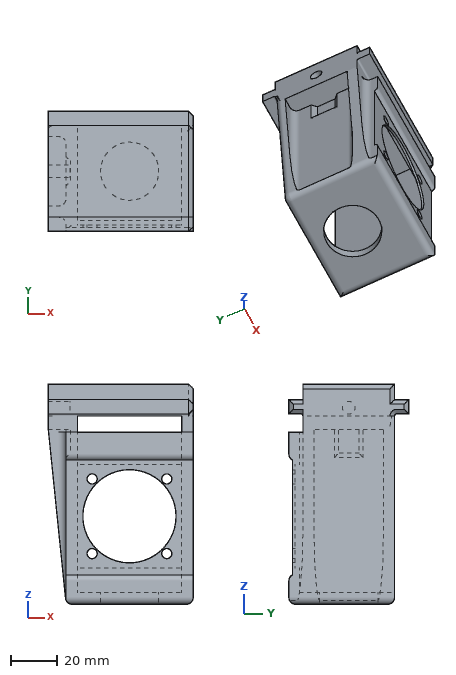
import cadquery as cq
import math

length = 62.5
width = 51.7
height = 94.8

block_width = 39.5
flange_top = 88.2
flange_bottom = 82.0
cove_radius = 0.95
end_chamfer = 2.0
block_bottom = flange_bottom - cove_radius
flange_overlap = 2.8
screw_diameter = 5.5
screw_z = 84.7
screw_depth = 9.5

slope_start_z = 75.2
recess_floor_x = 7.7
slope = recess_floor_x / slope_start_z
edge_radius = 3.0
plate_top = 74.1
cove_column_radius = 3.1
center_recess_width = 29.9

socket_width = 12.4
socket_bottom = 63.2
socket_depth = 2.0
socket_inset = 1.9

seat_depth = 1.6
seat_bottom_land = 10.1
seat_top_land = 9.5
seat_lip_radius = 2.75
bore_diameter = 40.0
bore_x = 35.0
bore_z = 37.9
screw_hole_diameter = 4.3
screw_hole_spacing = 32.1
seat_wall = 1.0

wall = 5.0
plate_thickness = 4.55
drain_diameter = 25.0

margin = 0.5

block_side = block_width / 2
plate_face = -width / 2
seat_face = plate_face + seat_depth
cavity_x0 = recess_floor_x + wall
cavity_x1 = length - wall
center_x = (recess_floor_x + length) / 2


def box(x0, x1, y0, y1, z0, z1):
    """Box between two opposite corners."""
    return cq.Workplane("XY").box(x1 - x0, y1 - y0, z1 - z0, centered=False).translate((x0, y0, z0))


def flange(side):
    """Flange on the +Y (side=1) or -Y (side=-1) side, coved below and chamfered at its +X end."""
    tip = width / 2
    inner = block_side - flange_overlap
    cove_mid = cove_radius * (1 - math.sqrt(0.5))
    bar = (
        cq.Workplane("YZ")
        .moveTo(inner, flange_top)
        .lineTo(tip, flange_top)
        .lineTo(tip, flange_bottom)
        .lineTo(block_side + cove_radius, flange_bottom)
        .threePointArc(
            (block_side + cove_mid, flange_bottom - cove_mid),
            (block_side, block_bottom),
        )
        .lineTo(inner, block_bottom)
        .close()
        .extrude(length)
    )
    free_end_edges = bar.faces(">X").edges(cq.selectors.BoxSelector(
        (length - margin, block_side - flange_overlap / 2 + margin, 0),
        (length + margin, tip + margin, height),
    ))
    bar = free_end_edges.chamfer(end_chamfer)
    return bar if side > 0 else bar.mirror("XZ")


def make_tray():
    """Block with both flanges and a blind screw hole in its -X end."""
    block = box(0, length, -block_side, block_side, block_bottom, height)
    block = block.faces(">X").edges(">Z or >Y").chamfer(end_chamfer)
    screw_hole = (
        cq.Workplane("YZ").center(0, screw_z).circle(screw_diameter / 2).extrude(screw_depth)
    )
    return block.union(flange(1)).union(flange(-1)).cut(screw_hole)


def make_trunk():
    """Solid leg with a sloping -X side, trimmed flush with the tray and stepped above the plate."""
    slope_top_x = (slope_start_z - block_bottom) * slope
    trunk = (
        cq.Workplane("XZ", origin=(0, block_side, 0))
        .polyline([
            (recess_floor_x, 0),
            (length, 0),
            (length, block_bottom),
            (slope_top_x, block_bottom),
        ])
        .close()
        .extrude(block_side - plate_face)
    )
    sloping_edge = cq.selectors.BoxSelector(
        (slope_top_x - margin, block_side - margin, margin),
        (recess_floor_x + margin, block_side + margin, block_bottom - margin),
    )
    trunk = trunk.edges(sloping_edge).fillet(edge_radius)
    trunk = trunk.faces("<Z").edges().fillet(edge_radius)
    trunk = trunk.intersect(box(0, length, plate_face, block_side, 0, block_bottom))
    return trunk.cut(box(0, length, plate_face, -block_side, plate_top, block_bottom))


def column_cut(y0, y1, top):
    """Vertical cut from outside the -X side up to the recess floor, with coved inner corners."""
    cut = box(-recess_floor_x, recess_floor_x, y0, y1, 0, top)
    return cut.edges("|Z and >X").fillet(cove_column_radius)


def cut_sloping_side(body):
    """Central recess between the sloping ribs, and the step that sets the plate back."""
    half = center_recess_width / 2
    center_recess = column_cut(-half, half, slope_start_z)
    plate_step = column_cut(-width, -block_side, plate_top)
    return body.cut(center_recess).cut(plate_step)


def cut_socket(body):
    """Blind socket that narrows on both sides and at the bottom as it goes in."""
    outer_height = slope_start_z - socket_bottom
    inner_height = outer_height - socket_inset
    socket = (
        cq.Workplane("YZ", origin=(recess_floor_x, 0, slope_start_z))
        .center(0, -outer_height / 2)
        .rect(socket_width, outer_height)
        .workplane(offset=socket_depth)
        .center(0, socket_inset / 2)
        .rect(socket_width - 2 * socket_inset, inner_height)
        .loft(ruled=True)
    )
    return body.cut(socket)


def cut_cavity(body):
    """Hollow the trunk, thin the plate behind the bore and open the drain in the floor."""
    front = plate_face + plate_thickness
    half = (cavity_x1 - cavity_x0) / 2
    cavity = box(cavity_x0, cavity_x1, front, block_side, wall, block_bottom)
    thinning = box(cavity_x0, cavity_x1, seat_face + seat_wall, front, bore_z - half, bore_z + half)
    drain = cq.Workplane("XY").center(center_x, 0).circle(drain_diameter / 2).extrude(wall)
    return body.cut(cavity).cut(thinning).cut(drain)


def cut_fan_seat(body):
    """Shallow seat with rounded lips across the plate, its bore and four screw holes."""
    lip_run = math.sqrt(seat_lip_radius**2 - (seat_lip_radius - seat_depth) ** 2)
    mid_angle = math.acos(1 - seat_depth / seat_lip_radius) / 2
    mid_y = plate_face + seat_lip_radius * (1 - math.cos(mid_angle))
    mid_z = seat_lip_radius * math.sin(mid_angle)
    z0 = seat_bottom_land
    z1 = plate_top - seat_top_land
    seat = (
        cq.Workplane("YZ")
        .moveTo(plate_face, z0)
        .threePointArc((mid_y, z0 + mid_z), (seat_face, z0 + lip_run))
        .lineTo(seat_face, z1 - lip_run)
        .threePointArc((mid_y, z1 - mid_z), (plate_face, z1))
        .close()
        .extrude(length)
    )
    bore = (
        cq.Workplane("XZ", origin=(bore_x, 0, bore_z))
        .circle(bore_diameter / 2)
        .extrude(width)
    )
    screw_holes = (
        cq.Workplane("XZ", origin=(bore_x, 0, bore_z))
        .rect(screw_hole_spacing, screw_hole_spacing, forConstruction=True)
        .vertices()
        .circle(screw_hole_diameter / 2)
        .extrude(width)
    )
    return body.cut(seat).cut(bore).cut(screw_holes)


trunk = cut_cavity(cut_socket(cut_sloping_side(make_trunk())))
trunk = cut_fan_seat(trunk)
result = make_tray().union(trunk)